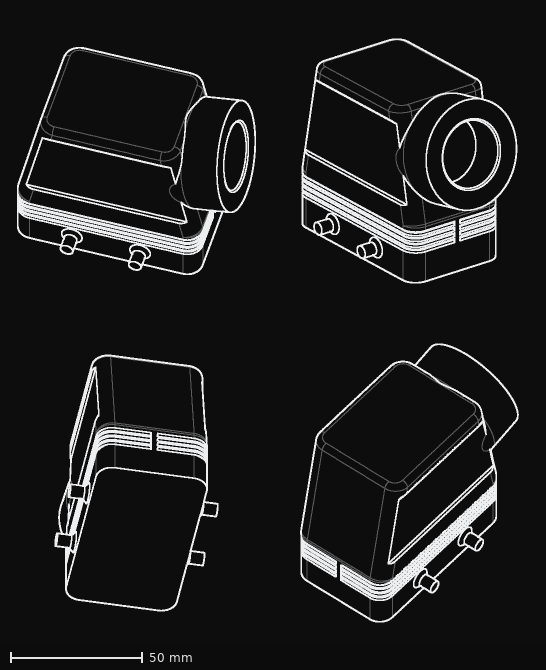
import cadquery as cq
import math

body_length = 73.2
body_width = 42.95
body_height = 70.0
knee_height = 23.6
knee_radius = 5.2
lean_angle = 11.5
corner_radius = 6.1
top_radius = 2.4

recess_depth = 0.9
recess_bottom = 31.05
recess_top = 64.2

groove_count = 4
groove_depth = 0.8
groove_pitch = 2.4
top_groove_height = 20.5
groove_gap = 2.6

pin_span = 57.0
pin_radius = 2.5
pin_collar = 1.55
pin_spacing = 27.1
pin_height = 7.6

outlet_radius = body_width / 2
outlet_length = 14.75
outlet_reach = 86.2
outlet_top = 73.1
bore_depth = outlet_length
bore_radius = 13.8
bore_chamfer = 0.7

lean = math.radians(lean_angle)
center_x = body_length / 2


def make_body():
    inset = (body_height - knee_height) * math.tan(lean)
    profile = [
        (0, 0),
        (body_length, 0),
        (body_length, knee_height),
        (body_length - inset, body_height),
        (inset, body_height),
        (0, knee_height),
    ]
    body = cq.Workplane("XZ").polyline(profile).close().extrude(body_width / 2, both=True)
    body = body.edges("|Y").edges(">>Z[-2]").fillet(knee_radius)
    body = body.faces("<Y or >Y").edges("not #Z").fillet(corner_radius)
    return body.faces(">Z").edges().fillet(top_radius)


def make_side_recess(side):
    outer_y = side * body_width / 2
    inner_y = outer_y - side * recess_depth
    profile = [
        (outer_y, recess_bottom),
        (outer_y, recess_top),
        (inner_y, recess_top - recess_depth),
        (inner_y, recess_bottom + recess_depth),
    ]
    return cq.Workplane("YZ").polyline(profile).close().extrude(body_length)


def make_groove(height):
    straight_x = body_length / 2 - corner_radius
    straight_y = body_width / 2 - corner_radius
    outline = (
        cq.Workplane("XY", origin=(center_x, 0, height))
        .moveTo(0, -body_width / 2)
        .lineTo(straight_x, -body_width / 2)
        .radiusArc((body_length / 2, -straight_y), -corner_radius)
        .lineTo(body_length / 2, straight_y)
        .radiusArc((straight_x, body_width / 2), -corner_radius)
        .lineTo(-straight_x, body_width / 2)
        .radiusArc((-body_length / 2, straight_y), -corner_radius)
        .lineTo(-body_length / 2, -straight_y)
        .radiusArc((-straight_x, -body_width / 2), -corner_radius)
        .close()
    )
    diamond = [(-groove_depth, 0), (0, groove_depth), (groove_depth, 0), (0, -groove_depth)]
    section = cq.Workplane("YZ", origin=(center_x, -body_width / 2, height))
    return section.polyline(diamond).close().sweep(outline)


def make_pin(x, side):
    surface = body_width / 2
    tip = pin_span / 2
    profile = [
        (0, 0),
        (pin_radius + pin_collar, 0),
        (pin_radius + pin_collar, surface),
        (pin_radius, surface + pin_collar),
        (pin_radius, tip),
        (0, tip),
    ]
    pin = cq.Workplane("XY").polyline(profile).close().revolve(360, (0, 0), (0, 1))
    if side < 0:
        pin = pin.mirror("XZ")
    return pin.translate((x, 0, pin_height))


def make_outlet_frame():
    """Workplane along the outlet, with local X as its axis and 0 at the open face."""
    face_x = outlet_reach - outlet_radius * math.sin(lean)
    face_z = outlet_top - outlet_radius * math.cos(lean)
    axis = (math.cos(lean), 0, math.sin(lean))
    return cq.Workplane(cq.Plane((face_x, 0, face_z), xDir=axis, normal=(0, -1, 0)))


def make_outlet():
    dome_middle = math.sqrt(0.5) * outlet_radius
    return (
        make_outlet_frame()
        .lineTo(0, outlet_radius)
        .lineTo(-outlet_length, outlet_radius)
        .threePointArc(
            (-outlet_length - dome_middle, dome_middle),
            (-outlet_length - outlet_radius, 0),
        )
        .close()
        .revolve(360, (0, 0), (1, 0))
    )


def make_bore():
    inner_radius = bore_radius - bore_chamfer
    profile = [
        (0, 0),
        (0, bore_radius),
        (-bore_chamfer, inner_radius),
        (-bore_depth, inner_radius),
        (-bore_depth, 0),
    ]
    return make_outlet_frame().polyline(profile).close().revolve(360, (0, 0), (1, 0))


result = make_body()

for side in (-1, 1):
    result = result.cut(make_side_recess(side))

groove_bridge = (
    cq.Workplane("XY", origin=(center_x, 0, top_groove_height))
    .box(body_length, groove_gap, body_height)
)
for index in range(groove_count):
    groove = make_groove(top_groove_height - index * groove_pitch)
    result = result.cut(groove.cut(groove_bridge))

result = result.union(make_outlet()).cut(make_bore())

for side in (-1, 1):
    for offset in (-pin_spacing / 2, pin_spacing / 2):
        result = result.union(make_pin(center_x + offset, side))